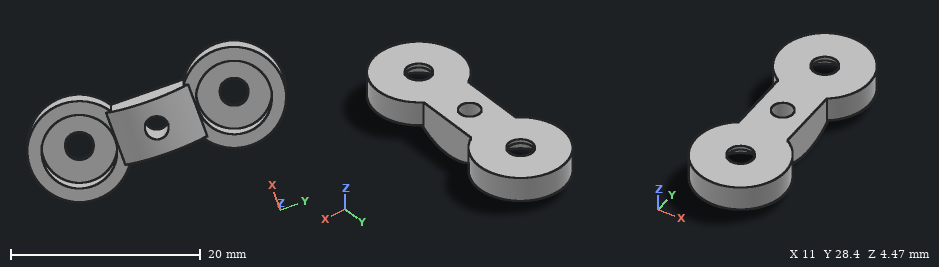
import cadquery as cq

length = 28.35
disc_diameter = 11.0
plate_thickness = 3.0
bar_width = 6.0
end_hole_diameter = 3.0
recess_diameter = 8.0
lip_thickness = 0.5
middle_hole_diameter = 2.5
belly_depth = 1.47
belly_chord = 9.2

disc_spacing = length - disc_diameter
disc_centers = [(0, -disc_spacing / 2), (0, disc_spacing / 2)]

discs = cq.Workplane("XY").pushPoints(disc_centers).circle(disc_diameter / 2).extrude(plate_thickness)
bar = cq.Workplane("XY").rect(bar_width, disc_spacing).extrude(plate_thickness)

belly = (
    cq.Workplane("YZ")
    .moveTo(-belly_chord / 2, 0)
    .threePointArc((0, -belly_depth), (belly_chord / 2, 0))
    .close()
    .extrude(bar_width / 2, both=True)
)

body = discs.union(bar).union(belly)

end_holes = cq.Workplane("XY").pushPoints(disc_centers).circle(end_hole_diameter / 2).extrude(plate_thickness)
recess_depth = plate_thickness - lip_thickness
recesses = cq.Workplane("XY").pushPoints(disc_centers).circle(recess_diameter / 2).extrude(recess_depth)

middle_hole = (
    cq.Workplane("XY")
    .workplane(offset=-belly_depth)
    .circle(middle_hole_diameter / 2)
    .extrude(belly_depth + plate_thickness)
)

result = body.cut(end_holes).cut(recesses).cut(middle_hole)